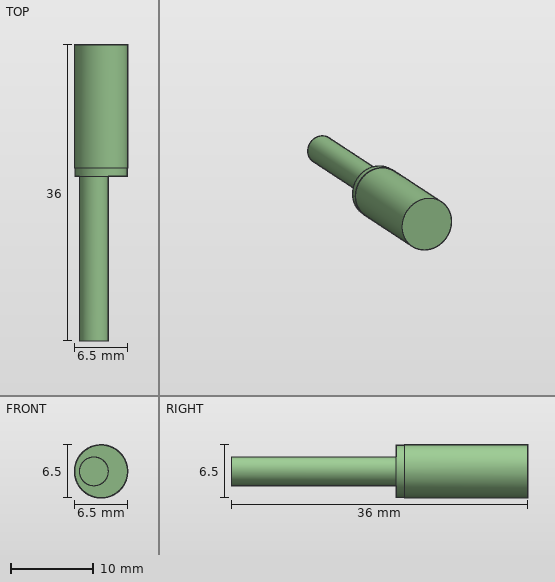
import cadquery as cq

body_diameter = 6.5
body_length = 15.0
collar_diameter = 6.4
collar_length = 1.0

shaft_diameter = 3.5
shaft_length = 20.0
shaft_offset_x = -shaft_diameter / 4


def cylinder_along_y(diameter, y_start, length, x_center=0.0):
    """Solid cylinder running from y_start toward +Y."""
    base = cq.Workplane("XZ", origin=(x_center, y_start, 0))
    return base.circle(diameter / 2).extrude(-length)


shaft = cylinder_along_y(shaft_diameter, -shaft_length, shaft_length, shaft_offset_x)
collar = cylinder_along_y(collar_diameter, 0, collar_length)
body = cylinder_along_y(body_diameter, collar_length, body_length)

result = body.union(collar).union(shaft)